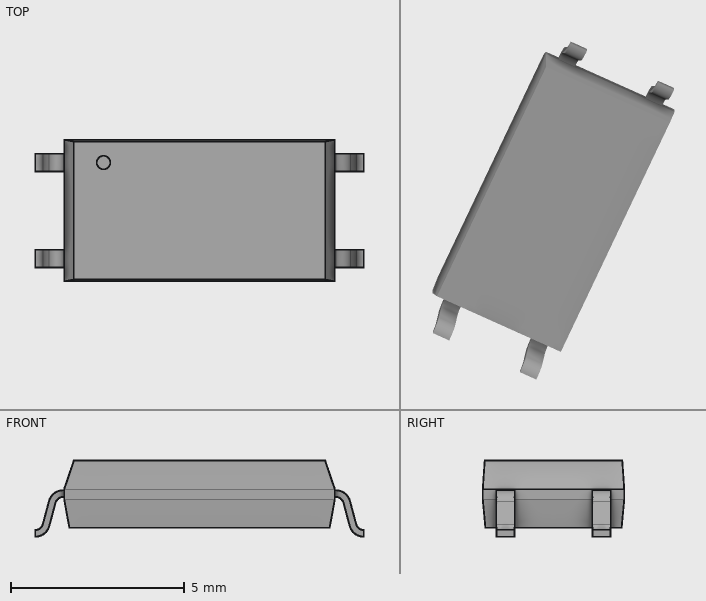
import cadquery as cq
import math

overall_length = 9.5
overall_width = 4.09
overall_height = 2.21

belt_length = 7.83
belt_bottom = 1.08
belt_top = 1.38
housing_bottom = 0.26
top_inset_x = 0.285
top_inset_y = 0.06
bottom_inset_x = 0.15
bottom_inset_y = 0.08

lead_thickness = 0.2
lead_width = 0.52
lead_top = 1.35
lead_row_y = 1.39
inner_bend_radius = 0.23
outer_bend_radius = inner_bend_radius + lead_thickness
bend_angle = 75.0

marker_diameter = 0.39
marker_depth = 0.095
marker_x = -2.77
marker_y = lead_row_y


def loft_between(lower_size, upper_size, lower_z, upper_z):
    """Straight-sided block between two centred rectangles, each size being (X, Y)."""
    return (
        cq.Workplane("XY", origin=(0, 0, lower_z))
        .rect(*lower_size)
        .workplane(offset=upper_z - lower_z)
        .rect(*upper_size)
        .loft(ruled=True)
    )


def make_marker():
    return (
        cq.Workplane("XY", origin=(marker_x, marker_y, overall_height - marker_depth))
        .circle(marker_diameter / 2)
        .extrude(marker_depth)
    )


def make_housing():
    belt_size = (belt_length, overall_width)
    top_size = (belt_length - 2 * top_inset_x, overall_width - 2 * top_inset_y)
    bottom_size = (belt_length - 2 * bottom_inset_x, overall_width - 2 * bottom_inset_y)
    lower_half = loft_between(bottom_size, belt_size, housing_bottom, belt_bottom)
    belt = loft_between(belt_size, belt_size, belt_bottom, belt_top)
    upper_half = loft_between(belt_size, top_size, belt_top, overall_height)
    return lower_half.union(belt).union(upper_half).cut(make_marker())


def point_on_circle(center, radius, angle):
    """Point at an angle in degrees, measured from +X towards +Z."""
    return (
        center[0] + radius * math.cos(math.radians(angle)),
        center[1] + radius * math.sin(math.radians(angle)),
    )


def make_lead(side, row_y):
    """Lead at X side -1 or +1, centred on row_y; drawn on the -X side, then mirrored for +X."""
    foot_end = -overall_length / 2
    housing_face = -belt_length / 2

    bend = math.radians(bend_angle)
    bend_radii_sum = inner_bend_radius + outer_bend_radius
    leg_drop = lead_top - lead_thickness - bend_radii_sum * (1 - math.cos(bend))
    lead_run = bend_radii_sum * math.sin(bend) + leg_drop / math.tan(bend)
    shoulder_center = (foot_end + lead_run, lead_top - outer_bend_radius)
    foot_center = (foot_end, outer_bend_radius)

    shoulder_end = 90 + bend_angle
    shoulder_middle = 90 + bend_angle / 2
    foot_start = -90 + bend_angle
    foot_middle = -90 + bend_angle / 2

    profile = (
        cq.Workplane("XZ", origin=(0, row_y + lead_width / 2, 0))
        .moveTo(housing_face, lead_top)
        .lineTo(shoulder_center[0], lead_top)
        .threePointArc(
            point_on_circle(shoulder_center, outer_bend_radius, shoulder_middle),
            point_on_circle(shoulder_center, outer_bend_radius, shoulder_end),
        )
        .lineTo(*point_on_circle(foot_center, inner_bend_radius, foot_start))
        .threePointArc(
            point_on_circle(foot_center, inner_bend_radius, foot_middle),
            (foot_end, lead_thickness),
        )
        .lineTo(foot_end, 0)
        .threePointArc(
            point_on_circle(foot_center, outer_bend_radius, foot_middle),
            point_on_circle(foot_center, outer_bend_radius, foot_start),
        )
        .lineTo(*point_on_circle(shoulder_center, inner_bend_radius, shoulder_end))
        .threePointArc(
            point_on_circle(shoulder_center, inner_bend_radius, shoulder_middle),
            (shoulder_center[0], lead_top - lead_thickness),
        )
        .lineTo(housing_face, lead_top - lead_thickness)
        .close()
    )
    lead = profile.extrude(lead_width)
    return lead.mirror("YZ") if side > 0 else lead


housing = make_housing()
marker = make_marker()
leads = [make_lead(side, row_y) for side in (-1, 1) for row_y in (-lead_row_y, lead_row_y)]

result = cq.Compound.makeCompound([housing.val(), marker.val(), *[lead.val() for lead in leads]])